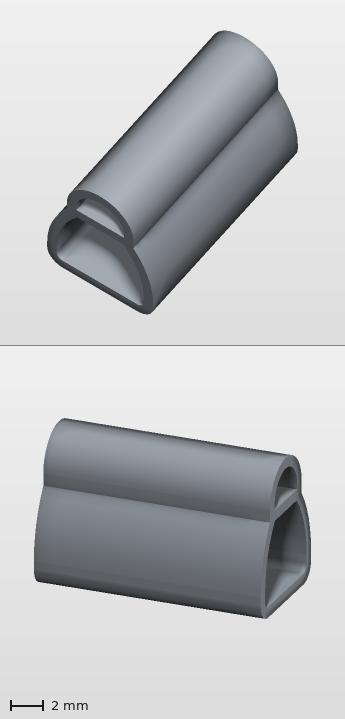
import cadquery as cq

length = 15.0
height = 9.5
width = 8.0
wall = 0.7
loop_radius = 2.5
shelf_bottom = 6.0
neck_height = 6.18
corner_radius = 1.2
side_straight_top = 1.78
side_radius = 7.2

half_width = width / 2
loop_center = height - loop_radius
loop_inner_radius = loop_radius - wall
shelf_top = shelf_bottom + wall
side_center_x = half_width - side_radius


def side_x(radius, z):
    """X of the bowed right side of the given radius at height z."""
    return side_center_x + (radius**2 - (z - side_straight_top) ** 2) ** 0.5


def body_outline(inset, top):
    """Closed outline of the lower tube, moved inward by inset and cut flat at top."""
    side = half_width - inset
    radius = side_radius - inset
    corner = corner_radius - inset
    diagonal = corner * (1 - 0.5**0.5)
    middle = (side_straight_top + top) / 2
    top_x = side_x(radius, top)
    middle_x = side_x(radius, middle)
    return (
        cq.Workplane("XZ")
        .moveTo(corner - side, inset)
        .lineTo(side - corner, inset)
        .threePointArc((side - diagonal, inset + diagonal), (side, corner_radius))
        .lineTo(side, side_straight_top)
        .threePointArc((middle_x, middle), (top_x, top))
        .lineTo(-top_x, top)
        .threePointArc((-middle_x, middle), (-side, side_straight_top))
        .lineTo(-side, corner_radius)
        .threePointArc((diagonal - side, inset + diagonal), (corner - side, inset))
        .close()
    )


def loop_outline(radius, bottom, bottom_half_width):
    """Closed outline of the upper tube: a half circle on straight legs."""
    return (
        cq.Workplane("XZ")
        .moveTo(-bottom_half_width, bottom)
        .lineTo(-radius, loop_center)
        .threePointArc((0, loop_center + radius), (radius, loop_center))
        .lineTo(bottom_half_width, bottom)
        .close()
    )


neck_half_width = side_x(side_radius, neck_height)
body = body_outline(0, neck_height).extrude(length / 2, both=True)
loop = loop_outline(loop_radius, neck_height, neck_half_width).extrude(length / 2, both=True)

body_passage = body_outline(wall, shelf_bottom).extrude(length / 2, both=True)
loop_passage = loop_outline(loop_inner_radius, shelf_top, loop_inner_radius).extrude(length / 2, both=True)

result = body.union(loop).cut(body_passage).cut(loop_passage)